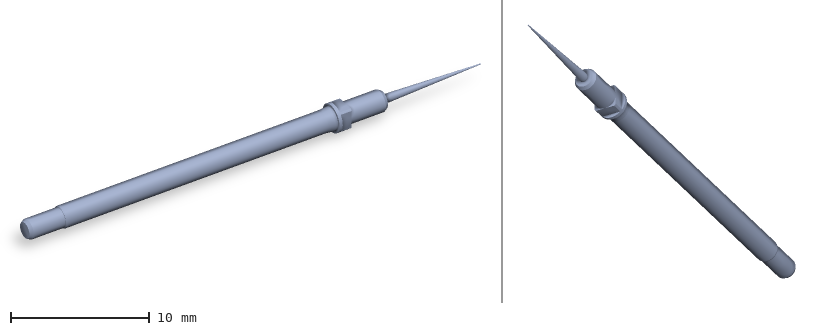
import cadquery as cq

total_length = 38.8

end_chamfer_length = 0.27
end_chamfer_depth = 0.15

tail_length = 3.0
tail_radius = 1.6 / 2

barrel_radius = 1.75 / 2
barrel_front = 30.45
barrel_rear_chamfer_length = 0.1
barrel_rear_chamfer_depth = 0.05

flange_radius = 2.3 / 2
flange_front = 26.35
flange_thickness = 0.27
press_ring_radius = 1.9 / 2
press_ring_length = 0.78

collar_length = 0.95
collar_width = 2 * barrel_radius

needle_radius = 0.7 / 2
needle_shank_length = 0.3
tip_radius = 0.05


def build_turned_body():
    """Tail, barrel, press ring, flange and needle, revolved from one half profile."""
    flange_rear = flange_front - flange_thickness
    profile = (
        cq.Workplane("XY")
        .lineTo(tail_radius - end_chamfer_depth, 0)
        .lineTo(tail_radius, end_chamfer_length)
        .lineTo(tail_radius, tail_length)
        .lineTo(barrel_radius - barrel_rear_chamfer_depth, tail_length)
        .lineTo(barrel_radius, tail_length + barrel_rear_chamfer_length)
        .lineTo(barrel_radius, flange_rear - press_ring_length)
        .lineTo(press_ring_radius, flange_rear)
        .lineTo(flange_radius, flange_rear)
        .lineTo(flange_radius, flange_front)
        .lineTo(barrel_radius, flange_front)
        .lineTo(barrel_radius, barrel_front - end_chamfer_length)
        .lineTo(barrel_radius - end_chamfer_depth, barrel_front)
        .lineTo(needle_radius, barrel_front)
        .lineTo(needle_radius, barrel_front + needle_shank_length)
        .lineTo(tip_radius, total_length)
        .lineTo(0, total_length)
        .close()
    )
    return profile.revolve(360, (0, 0, 0), (0, 1, 0))


def build_square_collar():
    """Square block whose corners are trimmed to the flange diameter."""
    base = cq.Workplane("XZ", origin=(0, flange_front, 0))
    block = base.rect(collar_width, collar_width).extrude(-collar_length)
    trim = base.circle(flange_radius).extrude(-collar_length)
    return block.intersect(trim)


result = build_turned_body().union(build_square_collar())